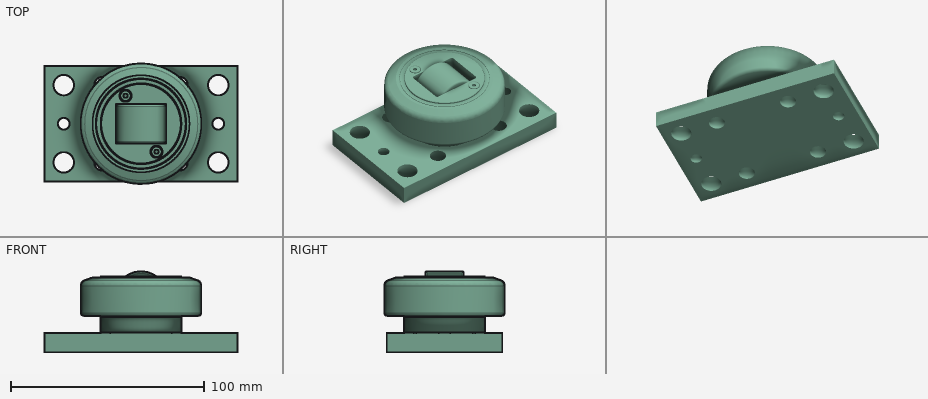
import cadquery as cq
import math

PLATE_LENGTH = 100.0
PLATE_WIDTH = 60.0
PLATE_HEIGHT = 10.0
MOUNT_HOLE_DIAMETER = 10.5
MOUNT_HOLE_X = 40.0
DOWEL_HOLE_DIAMETER = 6.0
INNER_HOLE_DIAMETER = 8.38
INNER_HOLE_X = 20.0
HOLE_ROW_Y = 20.0

STEM_DIAMETER = 42.1
STEM_CHAMFER = 0.5
NECK_DIAMETER = 42.0
NECK_HEIGHT = 0.6

ROLLER_DIAMETER = 62.5
ROLLER_BOTTOM = 18.8
ROLLER_HEIGHT = 20.0
ROLLER_TOP = ROLLER_BOTTOM + ROLLER_HEIGHT
ROLLER_TOP_FLAT_DIAMETER = 50.3
ROLLER_CROWN_ANGLE = 20.0
ROLLER_SHOULDER_FILLET = 3.0
ROLLER_BOTTOM_FILLET = 1.75
SEAL_GROOVE_OUTER_DIAMETER = 47.0
SEAL_GROOVE_WIDTH = 0.4
SEAL_GROOVE_DEPTH = 0.3

COVER_DIAMETER = 41.5
COVER_TOP = 39.5
COVER_CHAMFER = 0.2
COVER_GAP_DIAMETER = 42.0
COVER_GAP_DEPTH = 0.3

SCREW_SEAT_DIAMETER = 6.4
SCREW_HEAD_DIAMETER = 5.35
SCREW_GROOVE_DEPTH = (SCREW_SEAT_DIAMETER - SCREW_HEAD_DIAMETER) / 2
SCREW_SOCKET_DIAMETER = 2.2
SCREW_SOCKET_DEPTH = 1.0
SCREW_X = 8.0
SCREW_Y = 14.5

WINDOW_LENGTH = 26.3
WINDOW_WIDTH = 20.9
WINDOW_CORNER_RADIUS = 1.0
SIDE_ROLLER_DIAMETER = 26.0
SIDE_ROLLER_WIDTH = 20.0
SIDE_ROLLER_FILLET = 1.0
SIDE_ROLLER_TOP = 42.0
SIDE_ROLLER_AXIS_Z = SIDE_ROLLER_TOP - SIDE_ROLLER_DIAMETER / 2
WINDOW_FLOOR = SIDE_ROLLER_AXIS_Z


def disc(diameter, bottom, top):
    """Solid cylinder about Z between two heights."""
    return cq.Workplane("XY").workplane(offset=bottom).circle(diameter / 2).extrude(top - bottom)


def ring(outer_diameter, inner_diameter, bottom, top):
    """Solid ring about Z between two heights."""
    return disc(outer_diameter, bottom, top).cut(disc(inner_diameter, bottom, top))


def make_plate():
    """Rectangular plate with its bottom face on Z = 0 and all of its through holes."""
    plate = cq.Workplane("XY").box(PLATE_LENGTH, PLATE_WIDTH, PLATE_HEIGHT, centered=(True, True, False))
    hole_patterns = [
        (MOUNT_HOLE_DIAMETER, MOUNT_HOLE_X, [-HOLE_ROW_Y, HOLE_ROW_Y]),
        (INNER_HOLE_DIAMETER, INNER_HOLE_X, [-HOLE_ROW_Y, HOLE_ROW_Y]),
        (DOWEL_HOLE_DIAMETER, MOUNT_HOLE_X, [0.0]),
    ]
    for diameter, hole_x, rows in hole_patterns:
        centers = [(x, y) for x in (-hole_x, hole_x) for y in rows]
        plate = plate.faces(">Z").workplane(origin=(0, 0, PLATE_HEIGHT)).pushPoints(centers).hole(diameter)
    return plate


def make_stem():
    """Round stem, chamfered at the plate, with a slightly narrower neck under the main roller."""
    neck_bottom = ROLLER_BOTTOM - NECK_HEIGHT
    stem = disc(STEM_DIAMETER, PLATE_HEIGHT, neck_bottom).faces("<Z").edges().chamfer(STEM_CHAMFER)
    return stem.union(disc(NECK_DIAMETER, neck_bottom, ROLLER_BOTTOM))


def make_roller():
    """Main roller: rounded rim, shallow conical crown and a fine groove at the seal."""
    radius = ROLLER_DIAMETER / 2
    flat_radius = ROLLER_TOP_FLAT_DIAMETER / 2
    crown_drop = (radius - flat_radius) * math.tan(math.radians(ROLLER_CROWN_ANGLE))
    profile = [
        (0, ROLLER_BOTTOM),
        (radius, ROLLER_BOTTOM),
        (radius, ROLLER_TOP - crown_drop),
        (flat_radius, ROLLER_TOP),
        (0, ROLLER_TOP),
    ]
    roller = cq.Workplane("XZ").polyline(profile).close().revolve(360, (0, 0, 0), (0, 1, 0))
    roller = roller.faces("<Z").edges().fillet(ROLLER_BOTTOM_FILLET)
    widest_edges = cq.selectors.RadiusNthSelector(-1)
    roller = roller.edges("%CIRCLE").edges(widest_edges).edges(">Z").fillet(ROLLER_SHOULDER_FILLET)
    seal_groove = ring(
        SEAL_GROOVE_OUTER_DIAMETER,
        SEAL_GROOVE_OUTER_DIAMETER - 2 * SEAL_GROOVE_WIDTH,
        ROLLER_TOP - SEAL_GROOVE_DEPTH,
        ROLLER_TOP,
    )
    cover_gap = ring(COVER_GAP_DIAMETER, COVER_DIAMETER, ROLLER_TOP - COVER_GAP_DEPTH, ROLLER_TOP)
    return roller.cut(seal_groove).cut(cover_gap)


def make_cover():
    """Raised cover disc with a chamfered top edge."""
    return disc(COVER_DIAMETER, ROLLER_TOP, COVER_TOP).faces(">Z").edges().chamfer(COVER_CHAMFER)


def make_screw_recess(x, y):
    """Countersunk groove around a flush screw head, together with the round socket in the head."""
    head_radius = SCREW_HEAD_DIAMETER / 2
    groove_profile = [
        (head_radius, COVER_TOP - SCREW_GROOVE_DEPTH),
        (SCREW_SEAT_DIAMETER / 2, COVER_TOP),
        (head_radius, COVER_TOP),
    ]
    groove = cq.Workplane("XZ").polyline(groove_profile).close().revolve(360, (0, 0, 0), (0, 1, 0))
    socket = disc(SCREW_SOCKET_DIAMETER, COVER_TOP - SCREW_SOCKET_DEPTH, COVER_TOP)
    return groove.union(socket).translate((x, y, 0))


def make_window():
    """Rounded rectangular pocket reaching down to the axis of the side roller."""
    return (
        cq.Workplane("XY", origin=(0, 0, WINDOW_FLOOR))
        .rect(WINDOW_LENGTH, WINDOW_WIDTH)
        .extrude(COVER_TOP - WINDOW_FLOOR)
        .edges("|Z")
        .fillet(WINDOW_CORNER_RADIUS)
    )


def make_side_roller():
    """Small roller lying along Y in the window, with rounded end edges."""
    return (
        cq.Workplane("XZ", origin=(0, SIDE_ROLLER_WIDTH / 2, SIDE_ROLLER_AXIS_Z))
        .circle(SIDE_ROLLER_DIAMETER / 2)
        .extrude(SIDE_ROLLER_WIDTH)
        .edges()
        .fillet(SIDE_ROLLER_FILLET)
    )


result = make_plate().union(make_stem()).union(make_roller()).union(make_cover())
for side in (-1, 1):
    result = result.cut(make_screw_recess(side * SCREW_X, -side * SCREW_Y))
result = result.cut(make_window()).union(make_side_roller())